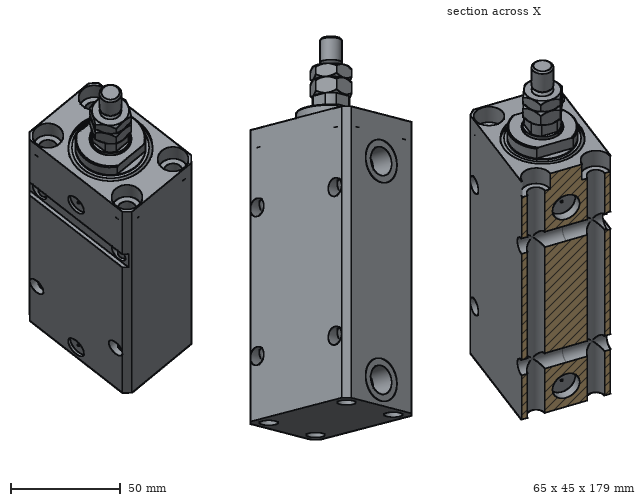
import cadquery as cq
import math

WIDTH = 65.0
DEPTH = 45.0
HEIGHT = 137.3
CORNER_X = 3.0
CORNER_Y = 3.0

BOLT_X = 25.0
BOLT_Y = 15.0
BOLT_DIA = 8.6
CBORE_DIA = 14.0
CBORE_DEPTH = 9.0
CROSS_LOW_Z = 30.0
CROSS_SPACING = 70.0
CROSS_HIGH_Z = CROSS_LOW_Z + CROSS_SPACING

SLOT_WIDTH = 9.8
SLOT_DEPTH = 2.0

PORT_DIA = 13.5
PORT_DEPTH = 12.0
SEAT_DIA = 20.0
SEAT_DEPTH = 0.2
PORT_Z = (12.2, 115.1)
RECESS_DIA = 10.0
RECESS_DEPTH = 1.5
RECESS_Z = (7.3, 115.3)
PILOT_DIA = 1.0
PILOT_DEPTH = 1.8

GLAND_DIA = 38.3
GLAND_DEPTH = 10.0
GLAND_BEVEL = 1.6
RIM_DIA = 32.2
RIM_HEIGHT = 0.5
RIM_TOP = HEIGHT + RIM_HEIGHT
BOSS_DIA = 32.0
BOSS_TOP = 144.0
BOSS_FLATS = 26.3
BOSS_BEVEL = 0.5
BORE_BEVEL = 0.5

ROD_DIA = 18.0
ROD_BOTTOM = HEIGHT - GLAND_DEPTH
ROD_SHOULDER = 145.0
NECK_DIA = 17.0
NECK_FLATS = 15.0

HEX_FLATS = 17.0
LOWER_HEX_Z = 151.3
UPPER_HEX_Z = 159.0
HEX_TOP = 165.2
HEX_FACE_DIA = 16.8
TIP_DIA = 10.0
TIP_TOP = 179.0
TIP_BEVEL = 0.9
GROOVE_DEPTH = 1.3


def cylinder(diameter, bottom, top):
    return cq.Workplane("XY").workplane(offset=bottom).circle(diameter / 2).extrude(top - bottom)


def side_hole(face, z, diameter, depth, start=0.0):
    """Blind hole cutter at height z, bored inward from the 'left' (-X) or 'front' (-Y) face."""
    if face == "left":
        origin = cq.Vector(-WIDTH / 2 + start, 0, z)
        direction = cq.Vector(1, 0, 0)
    else:
        origin = cq.Vector(0, -DEPTH / 2 + start, z)
        direction = cq.Vector(0, 1, 0)
    return cq.Workplane(obj=cq.Solid.makeCylinder(diameter / 2, depth, origin, direction))


def make_block():
    x = WIDTH / 2
    y = DEPTH / 2
    outline = [
        (x, y - CORNER_Y), (x - CORNER_X, y),
        (CORNER_X - x, y), (-x, y - CORNER_Y),
        (-x, CORNER_Y - y), (CORNER_X - x, -y),
        (x - CORNER_X, -y), (x, CORNER_Y - y),
    ]
    return cq.Workplane("XY").polyline(outline).close().extrude(HEIGHT)


def make_housing():
    body = make_block()

    slot = cq.Workplane("XY").box(WIDTH, 2 * SLOT_DEPTH, SLOT_WIDTH)
    body = body.cut(slot.translate((0, -DEPTH / 2, CROSS_HIGH_Z)))

    corners = [(sx * BOLT_X, sy * BOLT_Y) for sx in (-1, 1) for sy in (-1, 1)]
    body = (
        body.faces(">Z").workplane(origin=(0, 0, HEIGHT))
        .pushPoints(corners)
        .cboreHole(BOLT_DIA, CBORE_DIA, CBORE_DEPTH)
    )

    cross = [(sx * BOLT_X, z) for sx in (-1, 1) for z in (CROSS_LOW_Z, CROSS_HIGH_Z)]
    drills = cq.Workplane("XZ").pushPoints(cross).circle(BOLT_DIA / 2).extrude(DEPTH / 2, both=True)
    body = body.cut(drills)

    for z in PORT_Z:
        body = body.cut(side_hole("left", z, SEAT_DIA, SEAT_DEPTH))
        body = body.cut(side_hole("left", z, PORT_DIA, PORT_DEPTH))
        body = body.cut(side_hole("left", z, PILOT_DIA, PILOT_DEPTH, start=PORT_DEPTH))
    for z in RECESS_Z:
        body = body.cut(side_hole("front", z, RECESS_DIA, RECESS_DEPTH))
        body = body.cut(side_hole("front", z, PILOT_DIA, PILOT_DEPTH, start=RECESS_DEPTH))

    return body.cut(cylinder(GLAND_DIA, ROD_BOTTOM, HEIGHT))


def make_gland():
    seat = cylinder(GLAND_DIA, ROD_BOTTOM, HEIGHT).faces(">Z").edges().chamfer(GLAND_BEVEL)
    rim = cylinder(RIM_DIA, HEIGHT, RIM_TOP)
    boss = cylinder(BOSS_DIA, RIM_TOP, BOSS_TOP).faces(">Z").edges().chamfer(BOSS_BEVEL)
    flats = cq.Workplane("XY").workplane(offset=RIM_TOP).rect(BOSS_FLATS, BOSS_DIA)
    boss = boss.intersect(flats.extrude(BOSS_TOP - RIM_TOP))
    bore = cylinder(ROD_DIA, ROD_BOTTOM, BOSS_TOP)
    body = seat.union(rim).union(boss).cut(bore)
    bore_edge = cq.selectors.RadiusNthSelector(0)
    return body.faces(">Z").edges("%CIRCLE").edges(bore_edge).chamfer(BORE_BEVEL)


def make_rod():
    shaft = cylinder(ROD_DIA, ROD_BOTTOM, ROD_SHOULDER)
    neck = cylinder(NECK_DIA, ROD_SHOULDER, LOWER_HEX_Z)
    square = cq.Workplane("XY").workplane(offset=ROD_SHOULDER).rect(NECK_FLATS, NECK_FLATS)
    neck = neck.intersect(square.extrude(LOWER_HEX_Z - ROD_SHOULDER))
    return shaft.union(neck)


def make_hexagon(bottom, top):
    """Hexagon with flats facing +X and -X and its corners bevelled at both ends."""
    corner_dia = HEX_FLATS / math.cos(math.pi / 6)
    bevel = (corner_dia - HEX_FACE_DIA) / 2
    prism = cq.Workplane("XY").workplane(offset=bottom).polygon(6, corner_dia).extrude(top - bottom)
    prism = prism.rotate((0, 0, 0), (0, 0, 1), 30)
    envelope = cylinder(corner_dia, bottom, top).faces("<Z or >Z").edges().chamfer(bevel)
    return prism.intersect(envelope)


def make_rod_end():
    radius = TIP_DIA / 2
    profile = [
        (0, HEX_TOP),
        (radius, HEX_TOP),
        (radius - GROOVE_DEPTH, HEX_TOP + GROOVE_DEPTH),
        (radius, HEX_TOP + 2 * GROOVE_DEPTH),
        (radius, TIP_TOP - TIP_BEVEL),
        (radius - TIP_BEVEL, TIP_TOP),
        (0, TIP_TOP),
    ]
    tip = cq.Workplane("XZ").polyline(profile).close().revolve(360, (0, 0, 0), (0, 1, 0))
    lower = make_hexagon(LOWER_HEX_Z, UPPER_HEX_Z)
    upper = make_hexagon(UPPER_HEX_Z, HEX_TOP)
    return lower.union(upper).union(tip)


housing = make_housing()
gland = make_gland()
rod = make_rod()
rod_end = make_rod_end()

result = cq.Compound.makeCompound([housing.val(), gland.val(), rod.val(), rod_end.val()])